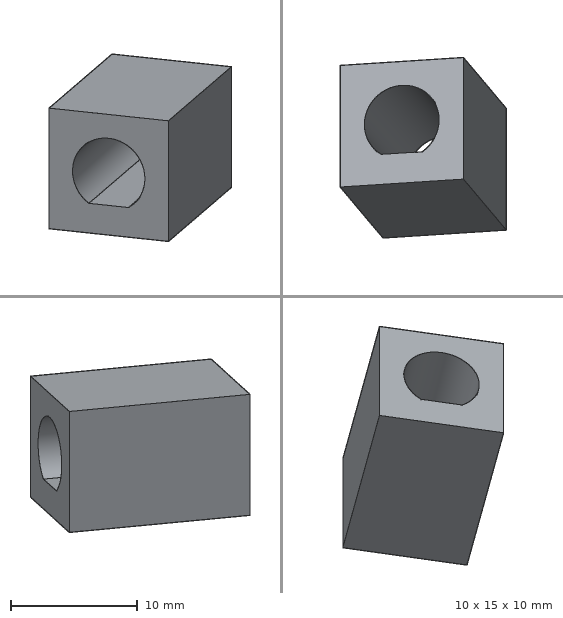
import cadquery as cq

length = 15.0
side = 10.0

bore_radius = 3.03
flat_depth = 2.54


def make_block():
    return cq.Workplane("XY").box(side, length, side)


def make_bore():
    cylinder = cq.Workplane("XZ").circle(bore_radius).extrude(length / 2, both=True)
    bore_height = bore_radius + flat_depth
    above_flat = (
        cq.Workplane("XY")
        .box(2 * bore_radius, length, bore_height, centered=(True, True, False))
        .translate((0, 0, -flat_depth))
    )
    return cylinder.intersect(above_flat)


result = make_block().cut(make_bore())